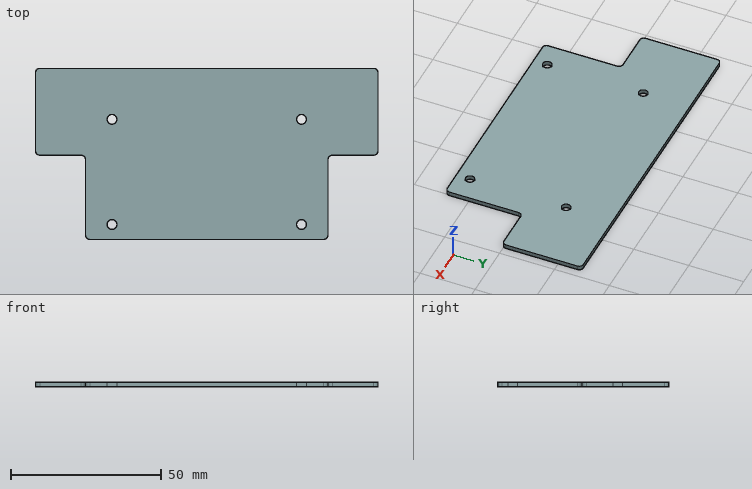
import cadquery as cq

plate_width = 114.0
plate_depth = 57.0
plate_thickness = 1.6

bar_depth = 29.0
tongue_width = 80.7
corner_radius = 1.5

hole_diameter = 3.2
hole_spacing_x = 63.0
hole_spacing_y = 35.0
front_hole_margin = 5.0

back_y = plate_depth / 2
front_y = -plate_depth / 2
hole_pattern_y = front_y + front_hole_margin + hole_spacing_y / 2


def make_plate():
    """T-shaped plate with every outer and inner corner rounded."""
    bar = cq.Workplane("XY").box(plate_width, bar_depth, plate_thickness)
    bar = bar.translate((0, back_y - bar_depth / 2, 0))
    tongue = cq.Workplane("XY").box(tongue_width, plate_depth, plate_thickness)
    return bar.union(tongue).clean().edges("|Z").fillet(corner_radius)


def drill_holes(plate):
    """Cut the four mounting holes through the plate."""
    return (
        plate.faces(">Z")
        .workplane(origin=(0, hole_pattern_y, 0))
        .rarray(hole_spacing_x, hole_spacing_y, 2, 2)
        .hole(hole_diameter)
    )


result = drill_holes(make_plate())